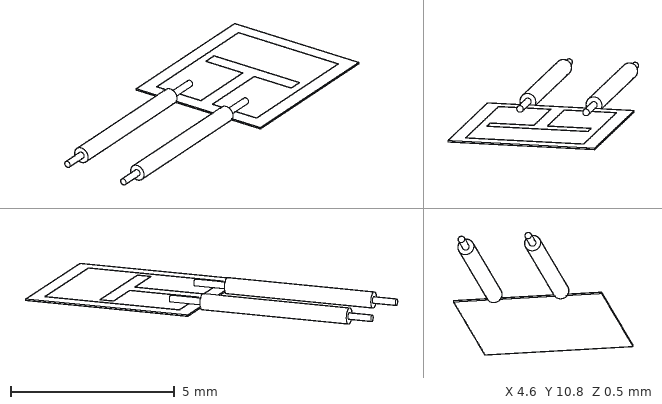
import cadquery as cq

plate_width = 4.6
plate_length = 5.31
plate_thickness = 0.05

film_width = 3.7
film_margin = (plate_width - film_width) / 2
film_thickness = 0.01
slot_bar_width = 3.17
slot_bar_length = 0.45
slot_bar_setback = 1.7
slot_stem_width = 0.42

overall_length = 10.85
lead_spacing = 2.07
wire_diameter = 0.21
wire_overlap = 1.05
wire_sink = 0.005
sleeve_diameter = 0.5
sleeve_length = 4.8

film_top = wire_sink - wire_diameter / 2
plate_top = film_top - film_thickness
plate_bottom = plate_top - plate_thickness
lead_tip_y = plate_length - overall_length
wire_length = wire_overlap - lead_tip_y
lead_positions = (-lead_spacing / 2, lead_spacing / 2)


def make_plate():
    return cq.Workplane("XY", origin=(0, 0, plate_bottom)).box(
        plate_width, plate_length, plate_thickness, centered=(True, False, False)
    )


def make_film():
    half_width = film_width / 2
    front = film_margin
    rear = plate_length - film_margin
    bar_rear = rear - slot_bar_setback
    bar_front = bar_rear - slot_bar_length
    half_bar = slot_bar_width / 2
    half_stem = slot_stem_width / 2
    right_half = [
        (half_width, rear),
        (half_width, front),
        (half_stem, front),
        (half_stem, bar_front),
        (half_bar, bar_front),
        (half_bar, bar_rear),
    ]
    left_half = [(-x, y) for x, y in reversed(right_half)]
    return (
        cq.Workplane("XY", origin=(0, 0, plate_top))
        .polyline(right_half + left_half)
        .close()
        .extrude(film_thickness)
    )


def make_wire(x):
    return (
        cq.Workplane("XZ", origin=(x, wire_overlap, 0))
        .circle(wire_diameter / 2)
        .extrude(wire_length)
    )


def make_sleeve(x):
    return (
        cq.Workplane("XZ", origin=(x, 0, 0))
        .circle(sleeve_diameter / 2)
        .circle(wire_diameter / 2)
        .extrude(sleeve_length)
    )


wires = [make_wire(x) for x in lead_positions]
plate = make_plate()
film = make_film()
for wire in wires:
    film = film.cut(wire)
sleeves = [make_sleeve(x) for x in lead_positions]

result = cq.Compound.makeCompound(
    [body.solids().val() for body in [plate, film, *wires, *sleeves]]
)